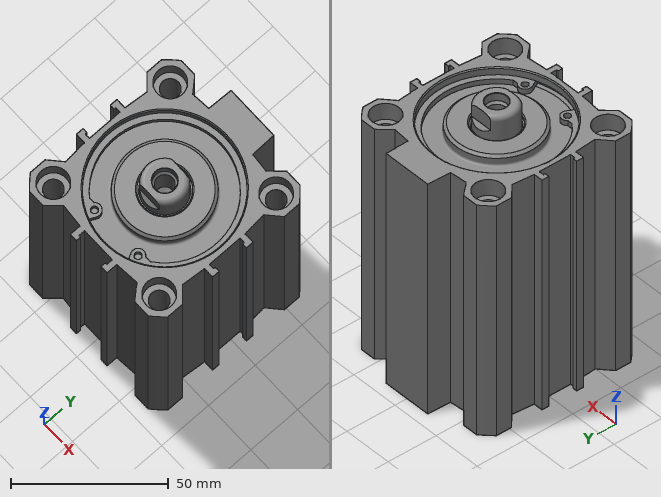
import cadquery as cq
import math

TOTAL_WIDTH = 65.0
TOTAL_DEPTH = 70.0
TOTAL_HEIGHT = 102.0
HOUSING_HEIGHT = 94.4

LUG_REACH = TOTAL_WIDTH / 2
LUG_FLAT_OUTER = 28.0
LUG_FLAT_INNER = 21.7
LUG_ROOT = 17.3
LUG_ROOT_REACH = 27.6
WALL_HALF_WIDTH = 8.7
WALL_REACH = 28.4
CORNER_RADIUS = math.hypot(LUG_FLAT_OUTER, LUG_REACH)

RAIL_INNER = 6.5
RAIL_LIP_INNER = 5.8
RAIL_LIP_THICKNESS = 1.8
SIDE_RAIL_REACH = 32.1

BLOCK_REACH = TOTAL_DEPTH - LUG_REACH
BLOCK_HALF_WIDTH = 10.1
BLOCK_ROOT_HALF_WIDTH = 10.4

MOUNT_PITCH = 50.0
MOUNT_DIAMETER = 6.8
MOUNT_COUNTERBORE_DIAMETER = 11.0
MOUNT_COUNTERBORE_DEPTH = 6.5

MOUTH_DIAMETER = 52.2
MOUTH_CHAMFER = 0.4
BORE_DIAMETER = 51.8

RING_DIAMETER = 55.2
RING_INNER_DIAMETER = 47.9
RING_THICKNESS = 2.0
RING_TOP = HOUSING_HEIGHT - 3.0
RING_BOTTOM = RING_TOP - RING_THICKNESS
EAR_X = 10.3
EAR_Y = -20.7
EAR_RADIUS = 2.4
EAR_HOLE_DIAMETER = 2.5
EAR_SHOULDER_RISE = 1.5

COVER_TOP = RING_BOTTOM
COVER_THICKNESS = 20.4
COVER_BOTTOM = COVER_TOP - COVER_THICKNESS
BOSS_DIAMETER = 34.0
BOSS_TOP = HOUSING_HEIGHT - 0.9
BOSS_CHAMFER_RADIAL = 1.0
BOSS_CHAMFER_HEIGHT = 0.9
BOSS_ROOT_FILLET = 0.8
COVER_BORE_DIAMETER = 16.5
WIPER_DIAMETER = 17.7
WIPER_DEPTH = 1.0
WIPER_CHAMFER = 0.4

ROD_DIAMETER = 16.0
ROD_TOP_FILLET = 1.8
FLAT_WIDTH = 13.1
FLAT_HEIGHT = 5.5
ROD_MOUTH_DIAMETER = 8.6
ROD_COUNTERBORE_DIAMETER = 8.3
ROD_COUNTERBORE_DEPTH = 3.2
ROD_HOLE_DIAMETER = 6.6
ROD_HOLE_DEPTH = 16.3
DRILL_POINT_ANGLE = 118.0


def cylinder(diameter, bottom, top):
    return cq.Workplane("XY", origin=(0, 0, bottom)).circle(diameter / 2).extrude(top - bottom)


def quarter_turned(point, quarters):
    """Turn a point about the axis by a number of counterclockwise quarter turns."""
    x, y = point
    for _ in range(quarters):
        x, y = -y, x
    return x, y


def make_body_prism():
    """Four-sided prism with a rounded lug at each corner."""
    side = [
        (-LUG_FLAT_OUTER, -LUG_REACH),
        (-LUG_FLAT_INNER, -LUG_REACH),
        (-LUG_ROOT, -LUG_ROOT_REACH),
        (-WALL_HALF_WIDTH, -WALL_REACH),
        (WALL_HALF_WIDTH, -WALL_REACH),
        (LUG_ROOT, -LUG_ROOT_REACH),
        (LUG_FLAT_INNER, -LUG_REACH),
        (LUG_FLAT_OUTER, -LUG_REACH),
    ]
    corner_middle = CORNER_RADIUS / math.sqrt(2)
    outline = cq.Workplane("XY").moveTo(*side[0])
    for quarter in range(4):
        for point in side[1:]:
            outline = outline.lineTo(*quarter_turned(point, quarter))
        outline = outline.threePointArc(
            quarter_turned((corner_middle, -corner_middle), quarter),
            quarter_turned((LUG_REACH, -LUG_FLAT_OUTER), quarter),
        )
    return outline.close().extrude(HOUSING_HEIGHT)


def make_rail_pair(reach):
    """Two hooked rails on the -Y side, lips facing each other."""
    lip_base = reach - RAIL_LIP_THICKNESS
    hook = [
        (WALL_HALF_WIDTH, -LUG_ROOT_REACH),
        (WALL_HALF_WIDTH, -reach),
        (RAIL_LIP_INNER, -reach),
        (RAIL_LIP_INNER, -lip_base),
        (RAIL_INNER, -lip_base),
        (RAIL_INNER, -LUG_ROOT_REACH),
    ]
    rail = cq.Workplane("XY").polyline(hook).close().extrude(HOUSING_HEIGHT)
    return rail.union(rail.mirror("YZ"))


def make_port_block():
    block = [
        (-BLOCK_ROOT_HALF_WIDTH, LUG_ROOT_REACH),
        (-BLOCK_HALF_WIDTH, BLOCK_REACH),
        (BLOCK_HALF_WIDTH, BLOCK_REACH),
        (BLOCK_ROOT_HALF_WIDTH, LUG_ROOT_REACH),
    ]
    return cq.Workplane("XY").polyline(block).close().extrude(HOUSING_HEIGHT)


def make_housing():
    housing = make_body_prism().union(make_port_block()).union(make_rail_pair(LUG_REACH))
    for turn in (90, -90):
        side_rails = make_rail_pair(SIDE_RAIL_REACH).rotate((0, 0, 0), (0, 0, 1), turn)
        housing = housing.union(side_rails)
    housing = (
        housing.faces(">Z")
        .workplane(origin=(0, 0, HOUSING_HEIGHT))
        .rect(MOUNT_PITCH, MOUNT_PITCH, forConstruction=True)
        .vertices()
        .cboreHole(MOUNT_DIAMETER, MOUNT_COUNTERBORE_DIAMETER, MOUNT_COUNTERBORE_DEPTH)
    )
    mouth = cylinder(MOUTH_DIAMETER, RING_TOP, HOUSING_HEIGHT)
    mouth_chamfer = cq.Workplane("XY").add(
        cq.Solid.makeCone(
            MOUTH_DIAMETER / 2,
            MOUTH_DIAMETER / 2 + MOUTH_CHAMFER,
            MOUTH_CHAMFER,
            pnt=cq.Vector(0, 0, HOUSING_HEIGHT - MOUTH_CHAMFER),
        )
    )
    ring_groove = cylinder(RING_DIAMETER, RING_BOTTOM, RING_TOP)
    cover_recess = cylinder(BORE_DIAMETER, COVER_BOTTOM, COVER_TOP)
    return housing.cut(mouth).cut(mouth_chamfer).cut(ring_groove).cut(cover_recess)


def make_retaining_ring():
    """Open ring whose ends carry ears with plier holes, either side of a gap at -Y."""
    base = cq.Workplane("XY", origin=(0, 0, RING_BOTTOM))
    disc = cylinder(RING_DIAMETER, RING_BOTTOM, RING_TOP)
    overshoot = RING_DIAMETER / math.hypot(EAR_X, EAR_Y)
    gap_end = (EAR_X * overshoot, EAR_Y * overshoot)
    gap = base.polyline([(0, 0), gap_end, (-gap_end[0], gap_end[1])]).close().extrude(RING_THICKNESS)
    ring = disc.cut(cylinder(RING_INNER_DIAMETER, RING_BOTTOM, RING_TOP)).cut(gap)

    shoulder_width = RING_INNER_DIAMETER / 2 - EAR_X
    ear_angle = math.degrees(math.atan2(EAR_Y, EAR_X))
    for side in (-1, 1):
        ear = base.center(side * EAR_X, EAR_Y).circle(EAR_RADIUS).extrude(RING_THICKNESS)
        arm = (
            base.center(side * EAR_X, EAR_Y)
            .transformed(rotate=(0, 0, ear_angle if side > 0 else 180 - ear_angle))
            .rect(RING_DIAMETER / 2, 2 * EAR_RADIUS, centered=(False, True))
            .extrude(RING_THICKNESS)
        )
        shoulder = (
            base.center(side * (EAR_X + shoulder_width / 2), EAR_Y + EAR_SHOULDER_RISE - shoulder_width / 2)
            .rect(shoulder_width, shoulder_width)
            .extrude(RING_THICKNESS)
        )
        ring = ring.union(ear.union(arm).union(shoulder).intersect(disc))
    plier_holes = (
        base.pushPoints([(-EAR_X, EAR_Y), (EAR_X, EAR_Y)])
        .circle(EAR_HOLE_DIAMETER / 2)
        .extrude(RING_THICKNESS)
    )
    return ring.cut(plier_holes)


def make_rod_cover():
    """Turned cover: flange, chamfered boss, and a bore that opens out at the top."""
    boss_radius = BOSS_DIAMETER / 2
    bore_radius = COVER_BORE_DIAMETER / 2
    wiper_radius = WIPER_DIAMETER / 2
    fillet_middle = BOSS_ROOT_FILLET * (1 - math.sqrt(0.5))
    return (
        cq.Workplane("XZ")
        .moveTo(bore_radius, COVER_BOTTOM)
        .lineTo(BORE_DIAMETER / 2, COVER_BOTTOM)
        .lineTo(BORE_DIAMETER / 2, COVER_TOP)
        .lineTo(boss_radius + BOSS_ROOT_FILLET, COVER_TOP)
        .threePointArc(
            (boss_radius + fillet_middle, COVER_TOP + fillet_middle),
            (boss_radius, COVER_TOP + BOSS_ROOT_FILLET),
        )
        .lineTo(boss_radius, BOSS_TOP - BOSS_CHAMFER_HEIGHT)
        .lineTo(boss_radius - BOSS_CHAMFER_RADIAL, BOSS_TOP)
        .lineTo(wiper_radius + WIPER_CHAMFER, BOSS_TOP)
        .lineTo(wiper_radius, BOSS_TOP - WIPER_CHAMFER)
        .lineTo(wiper_radius, BOSS_TOP - WIPER_DEPTH)
        .lineTo(bore_radius, BOSS_TOP - WIPER_DEPTH)
        .close()
        .revolve(360, (0, 0, 0), (0, 1, 0))
    )


def make_rod_hole():
    """Stepped blind hole with a chamfered mouth, a conical step and a drill point."""
    mouth_radius = ROD_MOUTH_DIAMETER / 2
    counterbore_radius = ROD_COUNTERBORE_DIAMETER / 2
    hole_radius = ROD_HOLE_DIAMETER / 2
    step_top = TOTAL_HEIGHT - ROD_COUNTERBORE_DEPTH
    hole_bottom = TOTAL_HEIGHT - ROD_HOLE_DEPTH
    point_height = hole_radius / math.tan(math.radians(DRILL_POINT_ANGLE / 2))
    profile = [
        (0, TOTAL_HEIGHT),
        (mouth_radius, TOTAL_HEIGHT),
        (counterbore_radius, TOTAL_HEIGHT - (mouth_radius - counterbore_radius)),
        (counterbore_radius, step_top),
        (hole_radius, step_top - (counterbore_radius - hole_radius)),
        (hole_radius, hole_bottom),
        (0, hole_bottom - point_height),
    ]
    return cq.Workplane("XZ").polyline(profile).close().revolve(360, (0, 0, 0), (0, 1, 0))


def make_flat_cutter():
    """Material removed on the -Y side: a wrench flat that runs out at 45 degrees."""
    flat = FLAT_WIDTH / 2
    outside = ROD_DIAMETER
    flat_bottom = TOTAL_HEIGHT - FLAT_HEIGHT
    profile = [
        (-flat, TOTAL_HEIGHT),
        (-flat, flat_bottom),
        (-outside, flat_bottom - (outside - flat)),
        (-outside, TOTAL_HEIGHT),
    ]
    return cq.Workplane("YZ").polyline(profile).close().extrude(ROD_DIAMETER / 2, both=True)


def make_rod():
    rod = cylinder(ROD_DIAMETER, COVER_BOTTOM, TOTAL_HEIGHT).faces(">Z").edges().fillet(ROD_TOP_FILLET)
    flat_cutter = make_flat_cutter()
    return rod.cut(flat_cutter).cut(flat_cutter.mirror("XZ")).cut(make_rod_hole())


housing = make_housing()
retaining_ring = make_retaining_ring()
rod_cover = make_rod_cover()
rod = make_rod()

result = cq.Compound.makeCompound(
    [housing.solids().val(), retaining_ring.solids().val(), rod_cover.val(), rod.solids().val()]
)